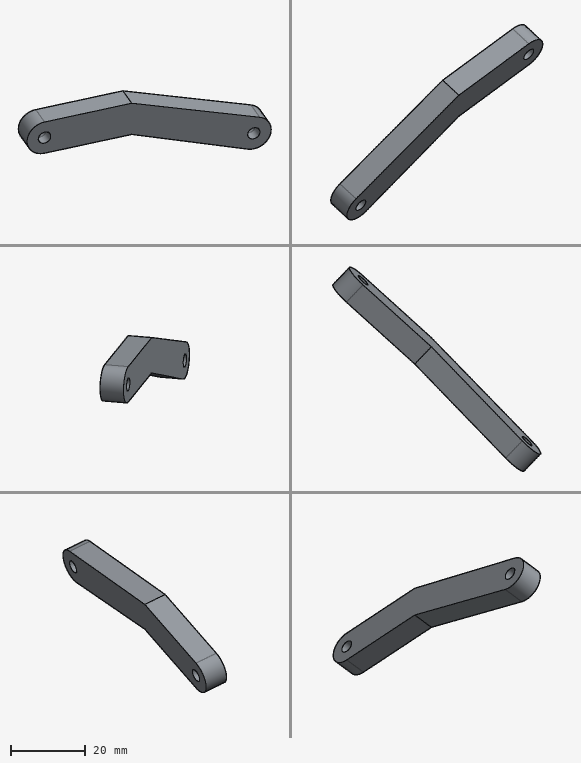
import cadquery as cq
import math

thickness = 6.5
length = 70.0
height = 23.0
end_diameter = 10.0
hole_diameter = 3.5
straight_arm = 25.0

end_radius = end_diameter / 2
hole_spacing = length - end_diameter
drop = height - end_diameter
front_hole = (0, 0)
bend_y = straight_arm
rear_hole = (hole_spacing, -drop)


def tangent_point(side):
    """Point where a line from the bend corner touches the rear end circle (side: +1 top, -1 bottom)."""
    dy = bend_y - rear_hole[0]
    dz = side * end_radius - rear_hole[1]
    corner_angle = math.atan2(dz, dy)
    contact_angle = corner_angle - side * math.acos(end_radius / math.hypot(dy, dz))
    return (
        rear_hole[0] + end_radius * math.cos(contact_angle),
        rear_hole[1] + end_radius * math.sin(contact_angle),
    )


link = (
    cq.Workplane("YZ")
    .moveTo(front_hole[0], end_radius)
    .lineTo(bend_y, end_radius)
    .lineTo(*tangent_point(1))
    .threePointArc((rear_hole[0] + end_radius, rear_hole[1]), tangent_point(-1))
    .lineTo(bend_y, -end_radius)
    .lineTo(front_hole[0], -end_radius)
    .threePointArc((front_hole[0] - end_radius, 0), (front_hole[0], end_radius))
    .close()
    .extrude(thickness / 2, both=True)
)

pivot_holes = (
    cq.Workplane("YZ")
    .pushPoints([front_hole, rear_hole])
    .circle(hole_diameter / 2)
    .extrude(thickness, both=True)
)

result = link.cut(pivot_holes)